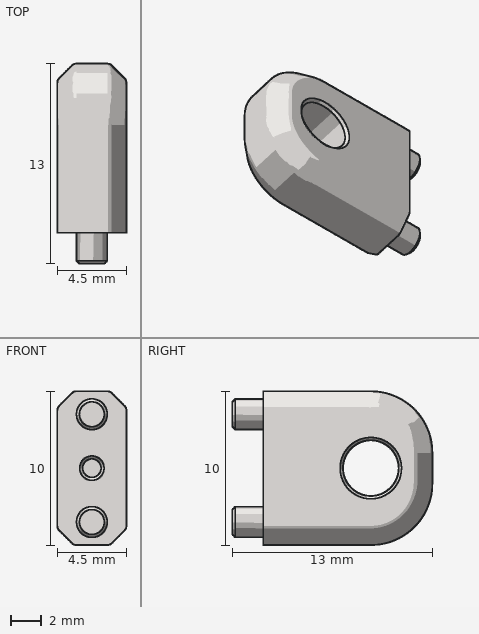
import cadquery as cq

total_length = 13.0
thickness = 4.5
height = 10.0

pin_diameter = 2.0
pin_length = 2.0
pin_spacing = 7.0
small_chamfer = 0.2

body_length = total_length - pin_length
corner_radius = 4.0
edge_chamfer = 1.08
edge_blend_radius = 0.4

cross_hole_diameter = 3.6
front_hole_diameter = 1.2
front_hole_depth = 3.0

front_y = 0
back_y = body_length
cross_hole_y = back_y - corner_radius


def make_body():
    """Plate with rounded back corners and blended chamfers around both sides."""
    plate = (
        cq.Workplane("XY")
        .box(thickness, body_length, height)
        .translate((0, body_length / 2, 0))
        .edges("|X and >Y")
        .fillet(corner_radius)
    )
    for side in (">X", "<X"):
        plate = plate.faces(side).edges("not <Y").chamfer(edge_chamfer)

    side_x = thickness / 2
    rim_x = side_x - edge_chamfer
    blend_edges = plate.faces(">X or <X").edges("not <Y")
    for x in (rim_x, -rim_x):
        rim_slab = cq.selectors.BoxSelector(
            (x - small_chamfer, front_y, -height),
            (x + small_chamfer, back_y + small_chamfer, height),
        )
        blend_edges = blend_edges.add(plate.edges(rim_slab))
    return blend_edges.fillet(edge_blend_radius)


def make_pin(z):
    """Pin standing out of the front face, with a chamfered tip."""
    return (
        cq.Workplane("XZ", origin=(0, front_y, z))
        .circle(pin_diameter / 2)
        .extrude(pin_length)
        .faces("<Y")
        .chamfer(small_chamfer)
    )


def make_cross_hole():
    """Through hole along X, concentric with the back corners in Y."""
    radius = cross_hole_diameter / 2
    half_length = thickness / 2
    hole = cq.Workplane("YZ", origin=(0, cross_hole_y, 0)).circle(radius).extrude(half_length, both=True)
    for direction in (-1, 1):
        mouth = cq.Solid.makeCone(
            radius + small_chamfer,
            radius,
            small_chamfer,
            pnt=cq.Vector(direction * half_length, cross_hole_y, 0),
            dir=cq.Vector(-direction, 0, 0),
        )
        hole = hole.union(cq.Workplane(mouth))
    return hole


def make_front_hole():
    """Flat-bottomed blind hole in the front face, with a chamfered mouth."""
    radius = front_hole_diameter / 2
    inward = cq.Vector(0, 1, 0)
    start = cq.Vector(0, front_y, 0)
    bore = cq.Solid.makeCylinder(radius, front_hole_depth, start, inward)
    mouth = cq.Solid.makeCone(radius + small_chamfer, radius, small_chamfer, start, inward)
    return cq.Workplane(bore).union(cq.Workplane(mouth))


result = make_body().cut(make_cross_hole()).cut(make_front_hole())
for pin_z in (-pin_spacing / 2, pin_spacing / 2):
    result = result.union(make_pin(pin_z))